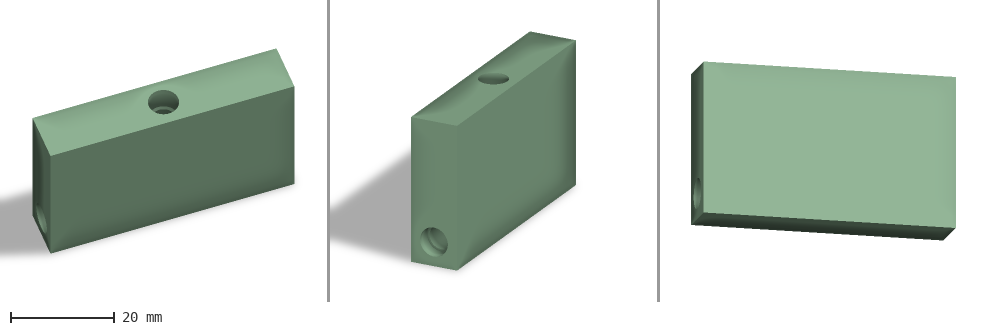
import cadquery as cq

width = 10
length = 50
height = 30

socket_diameter = 6
end_socket_depth = 3
top_socket_depth = 5
cone_height = 0.3
port_height = 5

passage_diameter = 5
front_bend_radius = 20
back_bend_radius = 12.5

socket_radius = socket_diameter / 2
passage_radius = passage_diameter / 2
top_socket_floor = height - top_socket_depth


def end_socket(side):
    """Straight socket in the end face; side is -1 for -Y and +1 for +Y."""
    start = cq.Vector(0, side * length / 2, port_height)
    return cq.Workplane(cq.Solid.makeCylinder(socket_radius, end_socket_depth, start, cq.Vector(0, -side, 0)))


def top_socket():
    """Vertical socket in the top face, narrowing to the passage through a short cone."""
    profile = [
        (0, height),
        (socket_radius, height),
        (socket_radius, top_socket_floor),
        (passage_radius, top_socket_floor - cone_height),
        (0, top_socket_floor - cone_height),
    ]
    return cq.Workplane("XZ").polyline(profile).close().revolve(360, (0, 0, 0), (0, 1, 0))


def bent_passage(side, bend_radius):
    """Bore running down from the top socket, round a quarter bend and along Y to an end socket."""
    bend_top = port_height + bend_radius
    socket_bottom_y = side * (length / 2 - end_socket_depth)
    path = cq.Workplane("YZ").moveTo(0, top_socket_floor)
    if bend_top < top_socket_floor:
        path = path.lineTo(0, bend_top)
    path = path.radiusArc((side * bend_radius, port_height), -side * bend_radius)
    path = path.lineTo(socket_bottom_y, port_height)
    return cq.Workplane("XY", origin=(0, 0, top_socket_floor)).circle(passage_radius).sweep(path)


result = cq.Workplane("XY").box(width, length, height, centered=(True, True, False))
result = result.cut(top_socket())
for side, bend_radius in ((-1, front_bend_radius), (1, back_bend_radius)):
    result = result.cut(bent_passage(side, bend_radius))
    result = result.cut(end_socket(side))